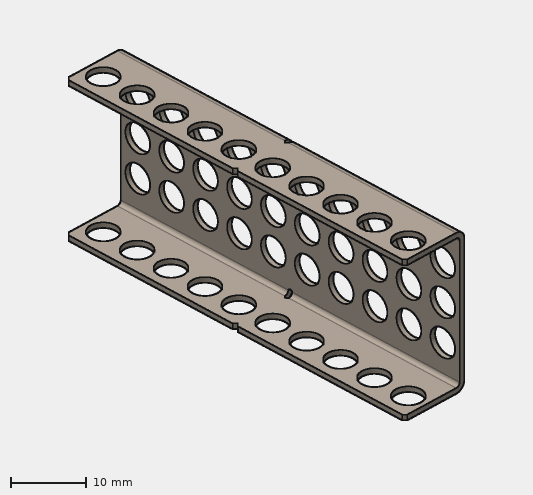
import cadquery as cq

length = 63.5
depth = 11.25
height = 25.4
thickness = 0.914
bend_outer_radius = 1.55
bend_inner_radius = bend_outer_radius - thickness

hole_diameter = 4.62
hole_pitch = 6.35
holes_per_row = 10
web_rows = 3
flange_hole_from_back = 7.39

corner_chamfer = 0.508
notch_depth = 0.508
notch_width = 2 * notch_depth

relief_width = 0.7
relief_reach = 1.8


def channel():
    """Bent sheet: outer block with rounded back edges, less its open interior."""
    outer = (
        cq.Workplane("XY")
        .box(length, depth, height)
        .translate((0, -depth / 2, 0))
        .edges("|X and >Y")
        .fillet(bend_outer_radius)
    )
    inner = (
        cq.Workplane("XY")
        .box(length, depth, height - 2 * thickness)
        .translate((0, -depth / 2 - thickness, 0))
        .edges("|X and >Y")
        .fillet(bend_inner_radius)
    )
    return outer.cut(inner)


def web_holes():
    """Grid of holes through the web, along Y."""
    return (
        cq.Workplane("XZ")
        .rarray(hole_pitch, hole_pitch, holes_per_row, web_rows)
        .circle(hole_diameter / 2)
        .extrude(depth)
    )


def flange_holes():
    """Row of holes through both flanges, along Z."""
    return (
        cq.Workplane("XY")
        .center(0, -flange_hole_from_back)
        .rarray(hole_pitch, 1, holes_per_row, 1)
        .circle(hole_diameter / 2)
        .extrude(height / 2, both=True)
    )


def edge_notches():
    """V-notch at mid-length in the free edge of both flanges."""
    return (
        cq.Workplane("XY")
        .moveTo(-notch_width / 2, -depth)
        .lineTo(0, -depth + notch_depth)
        .lineTo(notch_width / 2, -depth)
        .close()
        .extrude(height / 2, both=True)
    )


def relief_slot(side):
    """Slot across one bend with round ends in the web and flange (side: +1 top, -1 bottom)."""
    half_width = relief_width / 2
    straight_reach = relief_reach - half_width
    outer_z = side * height / 2
    block = (
        cq.Workplane("XY")
        .box(relief_width, straight_reach, straight_reach)
        .translate((0, -straight_reach / 2, outer_z - side * straight_reach / 2))
    )
    web_end = (
        cq.Workplane("XZ")
        .center(0, outer_z - side * straight_reach)
        .circle(half_width)
        .extrude(bend_outer_radius)
    )
    flange_end = (
        cq.Workplane("XY", origin=(0, -straight_reach, outer_z))
        .circle(half_width)
        .extrude(-side * bend_outer_radius)
    )
    return block.union(web_end).union(flange_end)


result = channel().edges("|Z and <Y").chamfer(corner_chamfer)
result = result.cut(web_holes()).cut(flange_holes()).cut(edge_notches())
for side in (1, -1):
    result = result.cut(relief_slot(side))